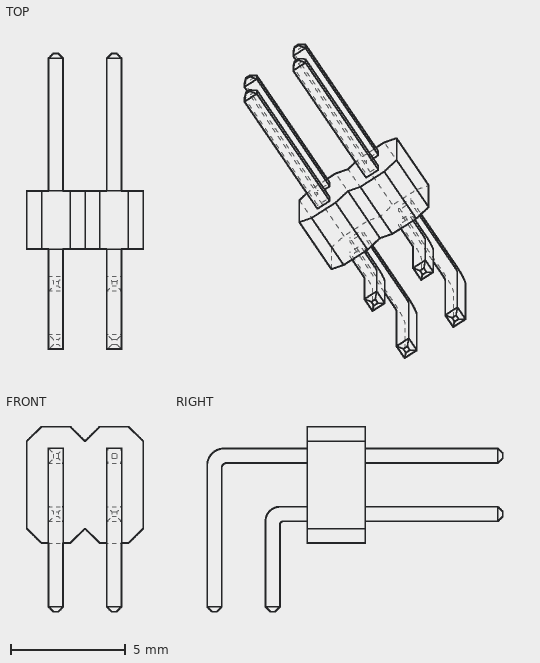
import cadquery as cq


pitch = 2.54
columns = 2
rows = 2
overall_length = 12.9
overall_height = 8.08

pin_width = 0.65
tip_chamfer = 0.22
rear_pin_length = 6.0

inner_bend_radii = (0.13, 0.2)
outer_bend_radii = (0.65, 0.75)

body_depth = pitch
body_height = rows * pitch
corner_chamfer_width = 0.65
corner_chamfer_height = pitch / 4

rear_end_y = rear_pin_length
front_end_y = rear_end_y - overall_length
foot_z = body_height - overall_height


def column_x(column):
    """X position of a column of pins, with the header centred on X = 0."""
    return (column - (columns - 1) / 2) * pitch


def make_cell(column):
    """One octagonal body segment, a pitch wide, around a column of pins."""
    half_width = pitch / 2
    half_flat = half_width - corner_chamfer_width
    half_height = body_height / 2
    half_side = half_height - corner_chamfer_height
    return (
        cq.Workplane("XZ", origin=(column_x(column), 0, half_height))
        .polyline([
            (half_flat, half_height),
            (half_width, half_side),
            (half_width, -half_side),
            (half_flat, -half_height),
            (-half_flat, -half_height),
            (-half_width, -half_side),
            (-half_width, half_side),
            (-half_flat, half_height),
        ])
        .close()
        .extrude(body_depth)
    )


def make_pin(column, row):
    """An L-shaped pin; each higher row reaches one pitch further forward."""
    top_z = (row + 0.5) * pitch + pin_width / 2
    leg_front_y = front_end_y + (rows - 1 - row) * pitch
    pin = (
        cq.Workplane("YZ")
        .moveTo(rear_end_y, top_z)
        .lineTo(leg_front_y, top_z)
        .lineTo(leg_front_y, foot_z)
        .lineTo(leg_front_y + pin_width, foot_z)
        .lineTo(leg_front_y + pin_width, top_z - pin_width)
        .lineTo(rear_end_y, top_z - pin_width)
        .close()
        .extrude(pin_width / 2, both=True)
    )
    pin = pin.faces(">Y").chamfer(tip_chamfer)
    pin = pin.faces("<Z").chamfer(tip_chamfer)
    outer_corner = cq.selectors.NearestToPointSelector((0, leg_front_y, top_z))
    pin = pin.edges("|X").edges(outer_corner).fillet(outer_bend_radii[row])
    inner_corner = cq.selectors.NearestToPointSelector(
        (0, leg_front_y + pin_width, top_z - pin_width)
    )
    pin = pin.edges("|X").edges(inner_corner).fillet(inner_bend_radii[row])
    return pin.translate((column_x(column), 0, 0))


result = make_cell(0)
for column in range(1, columns):
    result = result.union(make_cell(column))
for column in range(columns):
    for row in range(rows):
        result = result.union(make_pin(column, row))